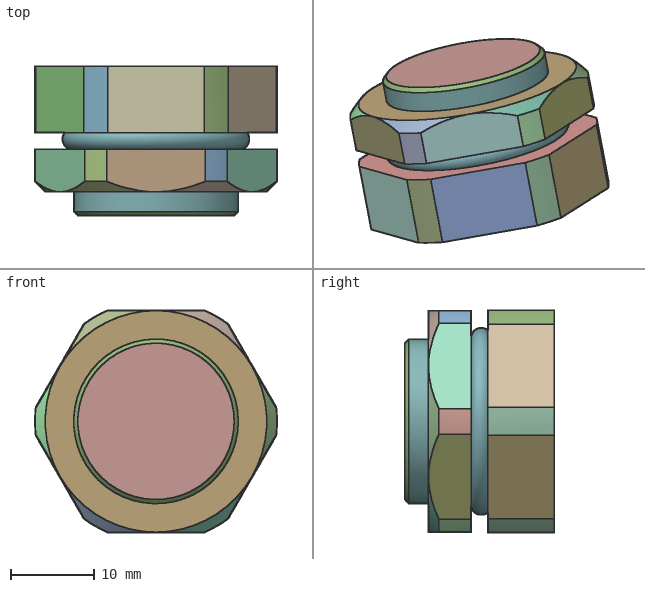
import cadquery as cq
import math

corner_diameter = 29.18
body_flats = 26.8
nut_flats = 26.67

body_length = 8.0
ring_gap = 2.0
nut_length = 5.15
nose_length = 2.85

ring_diameter = 22.55
ring_section_radius = 1.25
ring_center_offset = 0.8
nose_diameter = 19.8
nose_chamfer = 0.5


def cylinder(start, length, diameter):
    """Cylinder on the Y axis, growing from start toward -Y."""
    return cq.Workplane("XZ", origin=(0, start, 0)).circle(diameter / 2).extrude(length)


def rounded_hexagon(start, length, flats):
    """Hexagonal prism whose corners lie on the corner cylinder."""
    hexagon = (
        cq.Workplane("XZ", origin=(0, start, 0))
        .polygon(6, flats / math.cos(math.pi / 6))
        .extrude(length)
    )
    return hexagon.intersect(cylinder(start, length, corner_diameter))


ring_start = -body_length
nut_start = ring_start - ring_gap

body = rounded_hexagon(0, body_length, body_flats)

ring_path_radius = ring_diameter / 2 - ring_section_radius
ring_center = ring_start - ring_center_offset
ring = (
    cq.Workplane("XY")
    .moveTo(-ring_path_radius, ring_center)
    .circle(ring_section_radius)
    .revolve(360, (0, 0), (0, 1))
)

nut_chamfer = (corner_diameter - nut_flats) / 2
nut_envelope = cylinder(nut_start, nut_length, corner_diameter).faces("<Y").chamfer(nut_chamfer)
nut = rounded_hexagon(nut_start, nut_length, nut_flats).intersect(nut_envelope)

core_length = ring_gap + nut_length + nose_length
core = cylinder(ring_start, core_length, nose_diameter).faces("<Y").chamfer(nose_chamfer)

result = body.union(core).union(ring).union(nut)